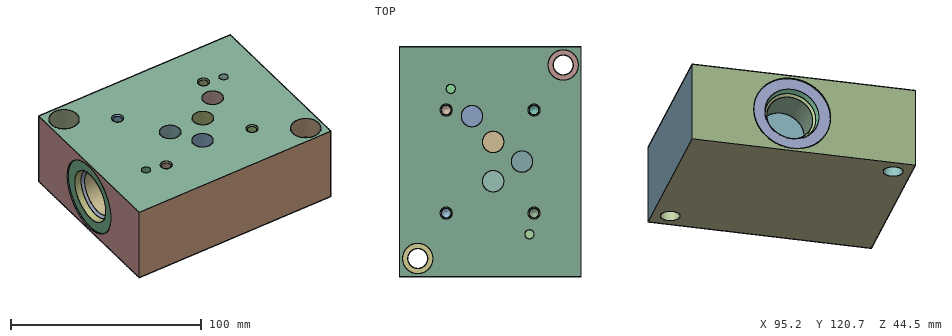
import cadquery as cq
import math

LENGTH_X = 95.25
WIDTH_Y = 120.65
HEIGHT_Z = 44.45
CENTER_Z = HEIGHT_Z / 2

MOUNT_INSET = 9.652
MOUNT_PITCH_X = 76.2
MOUNT_PITCH_Y = WIDTH_Y - 2 * MOUNT_INSET
MOUNT_DIAMETER = 10.31
MOUNT_BORE_DIAMETER = 15.88
MOUNT_BORE_DEPTH = 12.7

VALVE_CENTER_X = 47.545
VALVE_CENTER_Y = 60.425
SCREW_PITCH_X = 46.0
SCREW_PITCH_Y = 54.0
SCREW_DIAMETER = 4.98
SCREW_MOUTH_DIAMETER = 6.35
SCREW_DEPTH = 16.0
DRILL_POINT_ANGLE = 118.0

PASSAGE_DIAMETER = 11.2
PASSAGE_DEPTH = 12.7
PASSAGE_OFFSETS = {
    "T": (13.5, -3.2),
    "A": (24.6, -16.7),
    "P": (39.7, -27.0),
    "B": (24.6, -37.3),
}

PIN_DIAMETER = 4.8
PIN_DEPTH = 8.0
PIN_OFFSET_X = 20.6
PIN_OFFSET_Y = 38.1

SPOTFACE_DIAMETER = 41.45
SPOTFACE_DEPTH = 0.8
SEAT_DIAMETER = 29.2
SEAT_END_DIAMETER = 27.4
SEAT_DEPTH = 3.3
THREAD_DIAMETER = 24.7
THREAD_CHAMFER_DEPTH = (SEAT_END_DIAMETER - THREAD_DIAMETER) / 2
PORT_DEPTH = 23.8
PORT_A_Y = 66.548
PORT_B_X = 47.752


def revolve_profile(profile):
    """Revolve (radius, height) points, closed along the axis, about the Z axis."""
    return cq.Workplane("XZ").polyline(profile).close().revolve(360, (0, 0), (0, 1))


def port_cutter():
    """Port cavity whose mouth lies at the origin and which deepens along -Z."""
    seat_end = SPOTFACE_DEPTH + SEAT_DEPTH
    thread_start = seat_end + THREAD_CHAMFER_DEPTH
    return revolve_profile([
        (0, 0),
        (SPOTFACE_DIAMETER / 2, 0),
        (SPOTFACE_DIAMETER / 2, -SPOTFACE_DEPTH),
        (SEAT_DIAMETER / 2, -SPOTFACE_DEPTH),
        (SEAT_END_DIAMETER / 2, -seat_end),
        (THREAD_DIAMETER / 2, -thread_start),
        (THREAD_DIAMETER / 2, -PORT_DEPTH),
        (0, -PORT_DEPTH),
    ])


def screw_hole_cutter():
    """Tapped hole with a chamfered mouth and a conical drill point, along -Z."""
    radius = SCREW_DIAMETER / 2
    mouth_radius = SCREW_MOUTH_DIAMETER / 2
    point_depth = radius / math.tan(math.radians(DRILL_POINT_ANGLE / 2))
    return revolve_profile([
        (0, 0),
        (mouth_radius, 0),
        (radius, radius - mouth_radius),
        (radius, -SCREW_DEPTH),
        (0, -SCREW_DEPTH - point_depth),
    ])


def cut_mounting_holes(body):
    corners = [
        (MOUNT_INSET, MOUNT_INSET),
        (MOUNT_INSET + MOUNT_PITCH_X, MOUNT_INSET + MOUNT_PITCH_Y),
    ]
    top = body.faces(">Z").workplane(origin=(0, 0, HEIGHT_Z))
    return top.pushPoints(corners).cboreHole(
        MOUNT_DIAMETER, MOUNT_BORE_DIAMETER, MOUNT_BORE_DEPTH
    )


def cut_screw_holes(body):
    cutter = screw_hole_cutter()
    for side_x in (-1, 1):
        for side_y in (-1, 1):
            x = VALVE_CENTER_X + side_x * SCREW_PITCH_X / 2
            y = VALVE_CENTER_Y + side_y * SCREW_PITCH_Y / 2
            body = body.cut(cutter.translate((x, y, HEIGHT_Z)))
    return body


def flat_hole_cutter(diameter, depth):
    """Flat-bottomed blind hole, along -Z from the origin."""
    return cq.Workplane("XY").circle(diameter / 2).extrude(-depth)


def cut_flow_passages(body):
    cutter = flat_hole_cutter(PASSAGE_DIAMETER, PASSAGE_DEPTH)
    for dx, dy in PASSAGE_OFFSETS.values():
        x = VALVE_CENTER_X - SCREW_PITCH_X / 2 + dx
        y = VALVE_CENTER_Y + SCREW_PITCH_Y / 2 + dy
        body = body.cut(cutter.translate((x, y, HEIGHT_Z)))
    return body


def cut_pin_holes(body):
    cutter = flat_hole_cutter(PIN_DIAMETER, PIN_DEPTH)
    for side in (-1, 1):
        x = VALVE_CENTER_X + side * PIN_OFFSET_X
        y = VALVE_CENTER_Y - side * PIN_OFFSET_Y
        body = body.cut(cutter.translate((x, y, HEIGHT_Z)))
    return body


def cut_side_ports(body):
    cutter = port_cutter()
    port_a = cutter.rotate((0, 0, 0), (0, 1, 0), -90).translate((0, PORT_A_Y, CENTER_Z))
    port_b = cutter.rotate((0, 0, 0), (1, 0, 0), 90).translate((PORT_B_X, 0, CENTER_Z))
    return body.cut(port_a).cut(port_b)


block = cq.Workplane("XY").box(LENGTH_X, WIDTH_Y, HEIGHT_Z, centered=False)
block = cut_mounting_holes(block)
block = cut_screw_holes(block)
block = cut_flow_passages(block)
block = cut_pin_holes(block)
result = cut_side_ports(block)